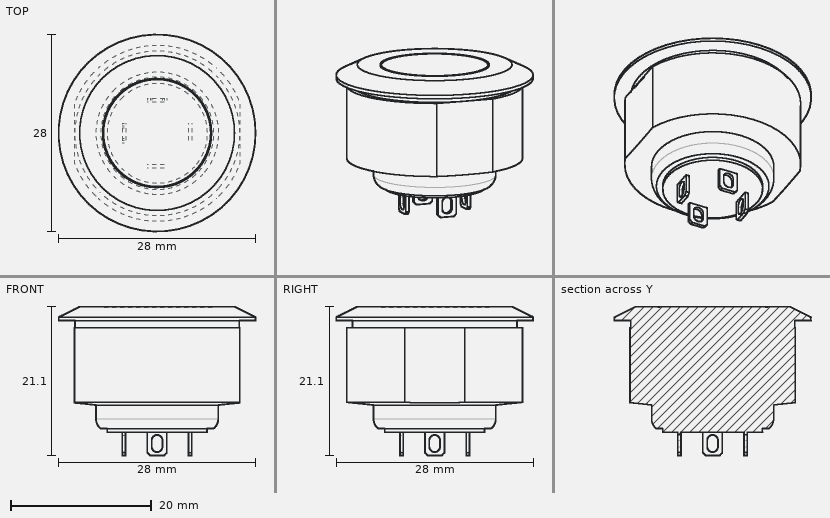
import cadquery as cq

flange_diameter = 28.0
bevel_top_diameter = 22.0
bevel_height = 1.5
flange_thickness = 2.0

groove_depth = 0.1
groove_outer_diameter = 15.5
groove_inner_diameter = 15.2

neck_diameter = 23.4
neck_height = 1.0
barrel_diameter = 25.0
barrel_height = 10.6
across_flats = 23.5
barrel_cone_height = 0.4

housing_diameter = 17.4
housing_bottom_diameter = 16.0
housing_straight_height = 1.95
housing_round_height = 1.4
base_diameter = 14.2
base_thickness = 0.5

terminal_count = 4
terminal_length = 3.3
terminal_width = 2.8
terminal_thickness = 0.5
terminal_radius = 4.7
terminal_corner = 0.4
terminal_spacing_angle = 360 / terminal_count
eyelet_length = 2.4
eyelet_width = 1.5
eyelet_offset = 1.6

flange_bottom = -flange_thickness
neck_bottom = flange_bottom - neck_height
barrel_bottom = neck_bottom - barrel_height
cone_bottom = barrel_bottom - barrel_cone_height
round_top = cone_bottom - housing_straight_height
housing_bottom = round_top - housing_round_height
base_bottom = housing_bottom - base_thickness


def disc(diameter, bottom, top):
    return cq.Workplane("XY").workplane(offset=bottom).circle(diameter / 2).extrude(top - bottom)


def ring(outer_diameter, inner_diameter, bottom, top):
    return disc(outer_diameter, bottom, top).cut(disc(inner_diameter, bottom, top))


def make_head():
    flange_radius = flange_diameter / 2
    profile = [
        (0, 0),
        (bevel_top_diameter / 2, 0),
        (flange_radius, -bevel_height),
        (flange_radius, flange_bottom),
        (0, flange_bottom),
    ]
    head = cq.Workplane("XZ").polyline(profile).close().revolve(360, (0, 0), (0, 1))
    return head.cut(ring(groove_outer_diameter, groove_inner_diameter, -groove_depth, 0))


def make_barrel():
    barrel_radius = barrel_diameter / 2
    profile = [
        (0, neck_bottom),
        (barrel_radius, neck_bottom),
        (barrel_radius, barrel_bottom),
        (housing_diameter / 2, cone_bottom),
        (0, cone_bottom),
    ]
    barrel = cq.Workplane("XZ").polyline(profile).close().revolve(360, (0, 0), (0, 1))
    flats = (
        cq.Workplane("XY")
        .workplane(offset=cone_bottom)
        .rect(across_flats, barrel_diameter)
        .extrude(neck_bottom - cone_bottom)
    )
    return barrel.intersect(flats)


def make_housing():
    housing_radius = housing_diameter / 2
    outline = (
        cq.Workplane("XZ")
        .moveTo(0, cone_bottom)
        .lineTo(housing_radius, cone_bottom)
        .lineTo(housing_radius, round_top)
        .tangentArcPoint((housing_bottom_diameter / 2, housing_bottom), relative=False)
        .lineTo(0, housing_bottom)
        .close()
    )
    return outline.revolve(360, (0, 0), (0, 1))


def make_terminal(angle):
    """Flat tab with an eyelet, standing at the given angle around Z."""
    tab = (
        cq.Workplane("XY")
        .workplane(offset=base_bottom - terminal_length)
        .center(terminal_radius, 0)
        .rect(terminal_thickness, terminal_width)
        .extrude(terminal_length)
        .faces("<Z")
        .edges("|X")
        .chamfer(terminal_corner)
    )
    eyelet = (
        cq.Workplane("YZ")
        .workplane(offset=terminal_radius - terminal_thickness / 2)
        .center(0, base_bottom - eyelet_offset)
        .slot2D(eyelet_length, eyelet_width, 90)
        .extrude(terminal_thickness)
    )
    return tab.cut(eyelet).rotate((0, 0, 0), (0, 0, 1), angle)


result = (
    make_head()
    .union(disc(neck_diameter, neck_bottom, flange_bottom))
    .union(make_barrel())
    .union(make_housing())
    .union(disc(base_diameter, base_bottom, housing_bottom))
)
for index in range(terminal_count):
    result = result.union(make_terminal(index * terminal_spacing_angle))